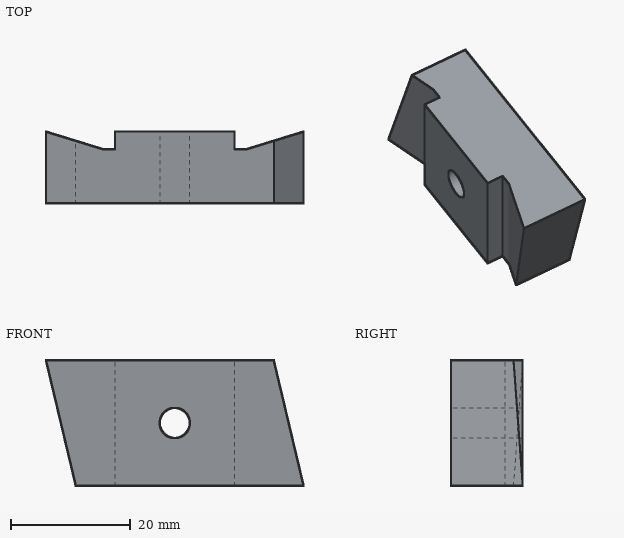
import cadquery as cq

length = 43.0
depth = 12.0
height = 21.0
side_shift = 5.0
hole_diameter = 5.0

pad_length = 20.0
relief_depth = 2.92
relief_floor_length = 2.0

half_length = length / 2
half_height = height / 2
half_pad = pad_length / 2
floor_end = half_pad + relief_floor_length
back = depth / 2
front = -depth / 2
floor = back - relief_depth


def relieved_bar():
    """Bar along X whose back has a pad, flat relief floors and ramps up to the ends."""
    outline = [
        (-half_length, front),
        (half_length, front),
        (half_length, back),
        (floor_end, floor),
        (half_pad, floor),
        (half_pad, back),
        (-half_pad, back),
        (-half_pad, floor),
        (-floor_end, floor),
        (-half_length, back),
    ]
    return cq.Workplane("XY").polyline(outline).close().extrude(half_height, both=True)


def slanted_envelope():
    """Parallelogram in XZ, through the whole depth, that gives the slanted ends."""
    outline = [
        (-half_length, half_height),
        (half_length - side_shift, half_height),
        (half_length, -half_height),
        (-half_length + side_shift, -half_height),
    ]
    return cq.Workplane("XZ").polyline(outline).close().extrude(depth, both=True)


def through_hole():
    """Central hole along Y."""
    return cq.Workplane("XZ").circle(hole_diameter / 2).extrude(depth, both=True)


result = relieved_bar().intersect(slanted_envelope()).cut(through_hole())